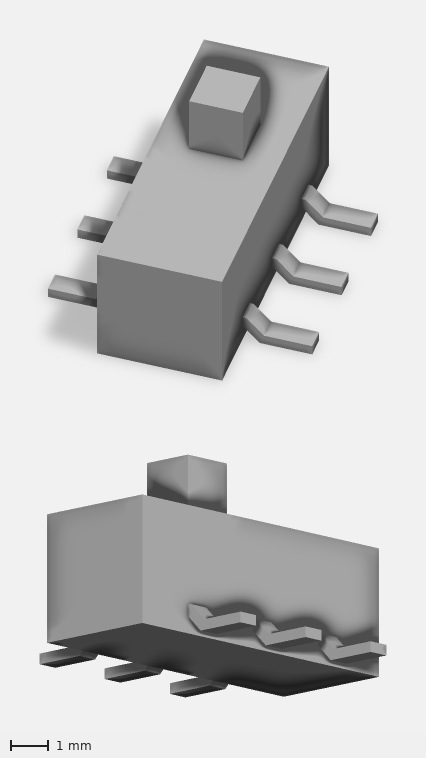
import cadquery as cq
import math

body_width = 3.5
body_length = 9.1
body_height = 3.5

knob_side = 1.5
knob_height = 1.69
knob_offset = 1.0

lead_span = 7.4
lead_pitch = 2.5
lead_width = 0.6
lead_thickness = 0.29
lead_top = 0.78
foot_length = 1.35
bend_angle = 45.0
lead_embed = 0.18


def make_lead(side, y_center):
    """Lead on the +X (side = 1) or -X (side = -1) face, centred on y_center."""
    rise = lead_top - lead_thickness
    run = rise / math.tan(math.radians(bend_angle))
    bend_shift = lead_thickness * math.tan(math.radians(bend_angle / 2))

    tip = lead_span / 2
    upper_bend = tip - foot_length
    lower_bend = upper_bend - bend_shift
    inner_end = body_width / 2 - lead_embed
    profile = [
        (tip, 0),
        (tip, lead_thickness),
        (upper_bend, lead_thickness),
        (upper_bend - run, lead_top),
        (inner_end, lead_top),
        (inner_end, rise),
        (lower_bend - run, rise),
        (lower_bend, 0),
    ]
    return (
        cq.Workplane("XZ", origin=(0, y_center, 0))
        .polyline([(side * x, z) for x, z in profile])
        .close()
        .extrude(lead_width / 2, both=True)
    )


body = cq.Workplane("XY").box(
    body_width, body_length, body_height, centered=(True, True, False)
)
knob = (
    cq.Workplane("XY", origin=(0, knob_offset, body_height))
    .rect(knob_side, knob_side)
    .extrude(knob_height)
)

result = body.union(knob)
for side in (-1, 1):
    for row in (-1, 0, 1):
        result = result.union(make_lead(side, row * lead_pitch))